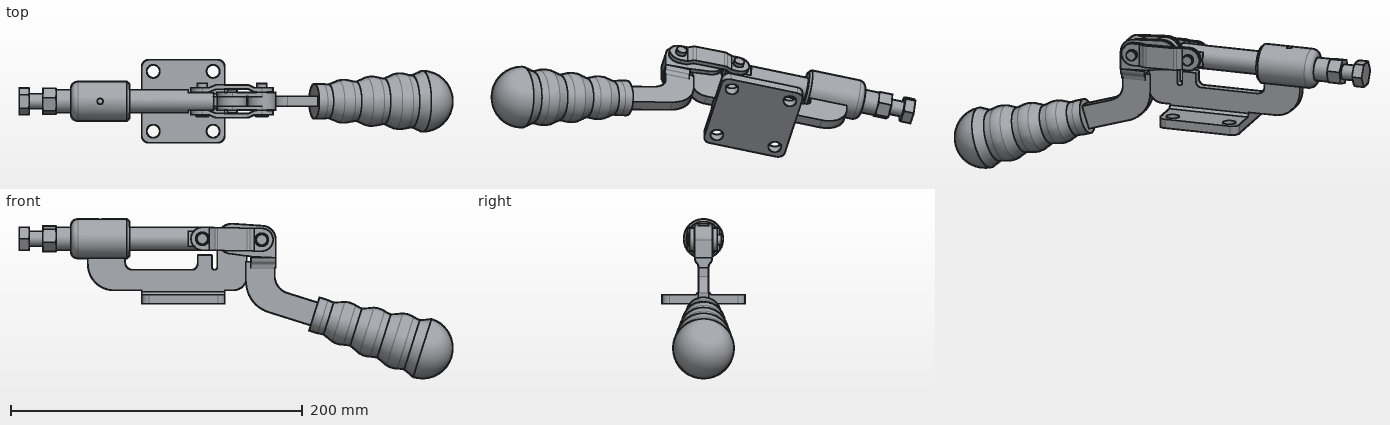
import cadquery as cq
import math


HEX_FLATS = 16.0
HEX_CORNER_RADIUS = HEX_FLATS / math.sqrt(3)
HEX_BEVEL = 0.9
BOLT_HEAD_LENGTH = 7.0
BOLT_DIAMETER = 10.5
NUT_START = 16.2
NUT_END = 25.4
NUT_TURN = 14.5

PLUNGER_DIAMETER = 16.0
PLUNGER_END = 133.2
PLUNGER_FLAT_START = 115.8
PLUNGER_FLAT_WIDTH = 12.0

BARREL_START = 35.3
BARREL_END = 75.7
BARREL_DIAMETER = 27.2
BARREL_FRONT_FILLET = 5.0
BARREL_REAR_CHAMFER = 1.8
OIL_HOLE_X = 55.5
OIL_HOLE_DIAMETER = 4.0

PLUNGER_PIN_X = 125.5
BODY_PIVOT_X = 145.9
HANDLE_PIN_X = 166.2
HANDLE_PIN_Z = -0.7
PIN_DIAMETER = 7.0
PIN_HEAD_DIAMETER = 9.0
PIN_HEAD_CHAMFER = 0.8
PIN_REAR_Y = 12.2
PIN_FRONT_Y = -10.7
RIVET_HALF_LENGTH = 8.0

BODY_THICKNESS = 6.5
BODY_LEFT = 47.0
BODY_BOTTOM = -35.4
BODY_FRONT_RADIUS = 18.0
BODY_REAR_RADIUS = 9.5
BODY_EYE_RADIUS = 10.2
RISER_RIGHT = 72.7
RISER_FILLET = 5.0
BEAM_TOP = -21.2
STOP_LEFT = 122.2
STOP_RIGHT = 132.2
STOP_TOP = -11.0
STOP_FILLET = 4.0
STOP_CORNER_RADIUS = 1.0

BASE_SIZE = 57.0
BASE_CENTER_X = 112.4
BASE_TOP = -38.2
BASE_THICKNESS = 6.4
BASE_CORNER_RADIUS = 5.0
BASE_HOLE_SPACING = 41.0
BASE_HOLE_DIAMETER = 8.8
WELD_LEG = 2.0

LINK_THICKNESS = 3.0
LINK_END_INNER_Y = 6.3
LINK_JOGGLE = 2.0
LINK_FRONT_BEND = (130.1, 134.8)
LINK_BEND_RADIUS = 5.0
LINK_REAR_BEND = (157.1, 161.2)
LINK_END_RADIUS = 7.8

HANDLE_THICKNESS = 7.0
HANDLE_EYE_RADIUS = 9.7
CHEEK_RADIUS = 10.4
HANDLE_ANGLE = 17.5
ARM_OUTER_Y = 6.1
ARM_BOTTOM_LEFT = (158.6, -12.2)
ARM_BOTTOM_Z = -13.0
NECK_LEFT = 155.4
NECK_RIGHT = 175.2
NECK_TAPER_END = -20.0
NECK_BEND_RADIUS = 5.5
NOTCH_RIGHT = 158.8
NOTCH_BOTTOM = -15.6
BAR_WIDTH = 16.5
BAR_EMBED = 10.0
NECK_INNER_RADIUS = 12.0
NECK_OUTER_RADIUS = 22.0

GRIP_START = (202.15, -51.55)
GRIP_COLLAR_LENGTH = 5.9
GRIP_COLLAR_RADIUS = 12.0
GRIP_FIRST_VALLEY = (10.3, 11.6)
RIB_COUNT = 3
RIB_PITCH = 20.1
RIB_START = 17.3
RIB_LENGTH = 7.8
RIB_FALL = 4.9
RIB_RADIUS = 14.3
RIB_BULGE = 0.6
RIB_GROWTH = 2.2
RIB_VALLEY_DROP = 0.9
GRIP_BALL_CENTER = 77.6
GRIP_BALL_RADIUS = 21.0


def x_cylinder(diameter, start, end):
    """Cylinder along the plunger axis between two X stations."""
    return cq.Workplane("YZ", origin=(start, 0, 0)).circle(diameter / 2).extrude(end - start)


def y_cylinder(x, z, diameter, y_start, y_end):
    """Cylinder along Y through (x, z)."""
    base = cq.Workplane("XZ", origin=(x, y_start, z)).circle(diameter / 2)
    return base.extrude(y_start - y_end)


def slab(profile, y_low, y_high):
    """Extrude an XZ wire, drawn at Y = 0, so that it fills y_low to y_high."""
    return profile.extrude(y_low - y_high).translate((0, y_low, 0))


def hexagon(start, end, turn):
    """Hexagon prism along X, with its rear corners bevelled."""
    length = end - start
    prism = (
        cq.Workplane("YZ", origin=(start, 0, 0))
        .polygon(6, 2 * HEX_CORNER_RADIUS)
        .extrude(length)
        .rotate((0, 0, 0), (1, 0, 0), turn)
    )
    envelope = x_cylinder(2 * HEX_CORNER_RADIUS, start, end).faces(">X").chamfer(HEX_BEVEL / 2, HEX_BEVEL)
    return prism.intersect(envelope)


def make_spindle():
    head = hexagon(0, BOLT_HEAD_LENGTH, 0)
    shank = x_cylinder(BOLT_DIAMETER, 0, NUT_END)
    nut = hexagon(NUT_START, NUT_END, NUT_TURN)
    return head.union(shank).union(nut)


def make_plunger():
    rod = x_cylinder(PLUNGER_DIAMETER, NUT_END, PLUNGER_FLAT_START)
    tongue = x_cylinder(PLUNGER_DIAMETER, PLUNGER_FLAT_START, PLUNGER_END)
    flats = cq.Workplane("XY").box(2 * PLUNGER_END, PLUNGER_FLAT_WIDTH, PLUNGER_DIAMETER)
    return rod.union(tongue.intersect(flats))


def make_barrel():
    barrel = x_cylinder(BARREL_DIAMETER, BARREL_START, BARREL_END)
    barrel = barrel.faces("<X").edges().fillet(BARREL_FRONT_FILLET)
    barrel = barrel.faces(">X").edges().chamfer(BARREL_REAR_CHAMFER)
    hole_bottom = PLUNGER_DIAMETER / 2 - OIL_HOLE_DIAMETER / 2
    oil_hole = (
        cq.Workplane("XY", origin=(OIL_HOLE_X, 0, hole_bottom))
        .circle(OIL_HOLE_DIAMETER / 2)
        .extrude(BARREL_DIAMETER / 2)
    )
    return barrel.cut(oil_hole)


def make_body():
    eye_left = BODY_PIVOT_X - BODY_EYE_RADIUS
    eye_right = BODY_PIVOT_X + BODY_EYE_RADIUS
    slot_radius = (eye_left - STOP_RIGHT) / 2
    barrel_overlap_z = -PLUNGER_DIAMETER / 2
    profile = (
        cq.Workplane("XZ")
        .moveTo(BODY_LEFT, barrel_overlap_z)
        .lineTo(BODY_LEFT, BODY_BOTTOM + BODY_FRONT_RADIUS)
        .radiusArc((BODY_LEFT + BODY_FRONT_RADIUS, BODY_BOTTOM), -BODY_FRONT_RADIUS)
        .lineTo(eye_right - BODY_REAR_RADIUS, BODY_BOTTOM)
        .radiusArc((eye_right, BODY_BOTTOM + BODY_REAR_RADIUS), -BODY_REAR_RADIUS)
        .lineTo(eye_right, 0)
        .threePointArc((BODY_PIVOT_X, BODY_EYE_RADIUS), (eye_left, 0))
        .lineTo(eye_left, BEAM_TOP + slot_radius)
        .threePointArc((eye_left - slot_radius, BEAM_TOP), (STOP_RIGHT, BEAM_TOP + slot_radius))
        .lineTo(STOP_RIGHT, STOP_TOP - STOP_CORNER_RADIUS)
        .radiusArc((STOP_RIGHT - STOP_CORNER_RADIUS, STOP_TOP), -STOP_CORNER_RADIUS)
        .lineTo(STOP_LEFT + STOP_CORNER_RADIUS, STOP_TOP)
        .radiusArc((STOP_LEFT, STOP_TOP - STOP_CORNER_RADIUS), -STOP_CORNER_RADIUS)
        .lineTo(STOP_LEFT, BEAM_TOP + STOP_FILLET)
        .radiusArc((STOP_LEFT - STOP_FILLET, BEAM_TOP), STOP_FILLET)
        .lineTo(RISER_RIGHT + RISER_FILLET, BEAM_TOP)
        .radiusArc((RISER_RIGHT, BEAM_TOP + RISER_FILLET), RISER_FILLET)
        .lineTo(RISER_RIGHT, barrel_overlap_z)
        .close()
    )
    return slab(profile, -BODY_THICKNESS / 2, BODY_THICKNESS / 2)


def make_base():
    plate = (
        cq.Workplane("XY", origin=(BASE_CENTER_X, 0, BASE_TOP - BASE_THICKNESS))
        .rect(BASE_SIZE, BASE_SIZE)
        .extrude(BASE_THICKNESS)
        .edges("|Z")
        .fillet(BASE_CORNER_RADIUS)
        .faces(">Z")
        .workplane(origin=(BASE_CENTER_X, 0, 0))
        .rect(BASE_HOLE_SPACING, BASE_HOLE_SPACING, forConstruction=True)
        .vertices()
        .hole(BASE_HOLE_DIAMETER)
    )
    half_thickness = BODY_THICKNESS / 2
    foot = (
        cq.Workplane("YZ", origin=(BASE_CENTER_X - BASE_SIZE / 2, 0, 0))
        .moveTo(-half_thickness - WELD_LEG, BASE_TOP)
        .lineTo(half_thickness + WELD_LEG, BASE_TOP)
        .lineTo(half_thickness, BASE_TOP + WELD_LEG)
        .lineTo(half_thickness, BODY_BOTTOM)
        .lineTo(-half_thickness, BODY_BOTTOM)
        .lineTo(-half_thickness, BASE_TOP + WELD_LEG)
        .close()
        .extrude(BASE_SIZE)
    )
    return plate.union(foot)


def make_link():
    """Link on the +Y side: a strip joggled outwards between its two round ends."""
    front_x = PLUNGER_PIN_X - LINK_END_RADIUS
    rear_x = HANDLE_PIN_X + LINK_END_RADIUS
    inner_edge = [
        (front_x, LINK_END_INNER_Y),
        (LINK_FRONT_BEND[0], LINK_END_INNER_Y),
        (LINK_FRONT_BEND[1], LINK_END_INNER_Y + LINK_JOGGLE),
        (LINK_REAR_BEND[0], LINK_END_INNER_Y + LINK_JOGGLE),
        (LINK_REAR_BEND[1], LINK_END_INNER_Y),
        (rear_x, LINK_END_INNER_Y),
    ]
    outer_edge = [(x, y + LINK_THICKNESS) for x, y in reversed(inner_edge)]
    strip = (
        cq.Workplane("XY", origin=(0, 0, -2 * LINK_END_RADIUS))
        .polyline(inner_edge + outer_edge)
        .close()
        .extrude(4 * LINK_END_RADIUS)
    )
    outer_y = LINK_END_INNER_Y + LINK_JOGGLE + LINK_THICKNESS
    for bend_x in (LINK_FRONT_BEND[1], LINK_REAR_BEND[0]):
        bend_edge = cq.selectors.NearestToPointSelector((bend_x, outer_y, 0))
        strip = strip.edges(bend_edge).fillet(LINK_BEND_RADIUS)
    outline = (
        cq.Workplane("XZ")
        .moveTo(PLUNGER_PIN_X, LINK_END_RADIUS)
        .lineTo(HANDLE_PIN_X, HANDLE_PIN_Z + LINK_END_RADIUS)
        .threePointArc((rear_x, HANDLE_PIN_Z), (HANDLE_PIN_X, HANDLE_PIN_Z - LINK_END_RADIUS))
        .lineTo(PLUNGER_PIN_X, -LINK_END_RADIUS)
        .threePointArc((front_x, 0), (PLUNGER_PIN_X, LINK_END_RADIUS))
        .close()
    )
    return strip.intersect(slab(outline, 0, PIN_REAR_Y))


def make_pin(x, z):
    head_y = -LINK_END_INNER_Y - LINK_THICKNESS
    shank = y_cylinder(x, z, PIN_DIAMETER, PIN_FRONT_Y, PIN_REAR_Y)
    head = y_cylinder(x, z, PIN_HEAD_DIAMETER, PIN_FRONT_Y, head_y)
    return shank.union(head.faces("<Y").edges().chamfer(PIN_HEAD_CHAMFER))


def make_clevis():
    """Pair of cheeks reaching from the handle pin forward around the body eye."""
    eye_top = HANDLE_PIN_Z + HANDLE_EYE_RADIUS
    cheek_right = HANDLE_PIN_X + HANDLE_EYE_RADIUS
    cheek = (
        cq.Workplane("XZ")
        .moveTo(BODY_PIVOT_X, CHEEK_RADIUS)
        .lineTo(HANDLE_PIN_X, eye_top)
        .radiusArc((cheek_right, HANDLE_PIN_Z), HANDLE_EYE_RADIUS)
        .lineTo(cheek_right, ARM_BOTTOM_Z)
        .lineTo(*ARM_BOTTOM_LEFT)
        .lineTo(BODY_PIVOT_X, -CHEEK_RADIUS)
        .threePointArc((BODY_PIVOT_X - CHEEK_RADIUS, 0), (BODY_PIVOT_X, CHEEK_RADIUS))
        .close()
    )
    cheeks = slab(cheek, -ARM_OUTER_Y, ARM_OUTER_Y)
    gap = cq.Workplane("XY").box(HANDLE_PIN_X, BODY_THICKNESS, 3 * CHEEK_RADIUS, centered=(False, True, True))
    return cheeks.cut(gap)


def make_handle_neck():
    """S-shaped narrowing from the width of the clevis down to the handle plate."""
    right = HANDLE_PIN_X + HANDLE_EYE_RADIUS
    half_plate = HANDLE_THICKNESS / 2
    middle_y = (ARM_OUTER_Y + half_plate) / 2
    middle_z = (ARM_BOTTOM_Z + NECK_TAPER_END) / 2
    return (
        cq.Workplane("YZ", origin=(NOTCH_RIGHT, 0, 0))
        .moveTo(-ARM_OUTER_Y, ARM_BOTTOM_Z)
        .lineTo(ARM_OUTER_Y, ARM_BOTTOM_Z)
        .radiusArc((middle_y, middle_z), NECK_BEND_RADIUS)
        .radiusArc((half_plate, NECK_TAPER_END), -NECK_BEND_RADIUS)
        .lineTo(-half_plate, NECK_TAPER_END)
        .radiusArc((-middle_y, middle_z), -NECK_BEND_RADIUS)
        .radiusArc((-ARM_OUTER_Y, ARM_BOTTOM_Z), NECK_BEND_RADIUS)
        .close()
        .extrude(right - NOTCH_RIGHT)
    )


def bar_edge_z(x, side):
    """Height at x of the upper (side = 1) or lower (side = -1) edge of the handle bar."""
    angle = math.radians(HANDLE_ANGLE)
    axis_z = GRIP_START[1] - (x - GRIP_START[0]) * math.tan(angle)
    return axis_z + side * BAR_WIDTH / 2 / math.cos(angle)


def bend_points(neck_x, side, radius):
    """Tangent points of the arc joining a vertical neck edge to a bar edge."""
    angle = math.radians(HANDLE_ANGLE)
    setback = radius * math.tan((math.pi / 2 - angle) / 2)
    corner_z = bar_edge_z(neck_x, side)
    on_neck = (neck_x, corner_z + setback)
    on_bar = (neck_x + setback * math.cos(angle), corner_z - setback * math.sin(angle))
    return on_neck, on_bar


def make_handle_bar():
    inner_neck, inner_bar = bend_points(NECK_RIGHT, 1, NECK_INNER_RADIUS)
    outer_neck, outer_bar = bend_points(NECK_LEFT, -1, NECK_OUTER_RADIUS)
    bar_end = GRIP_START[0] + BAR_EMBED
    profile = (
        cq.Workplane("XZ")
        .moveTo(NOTCH_RIGHT, HANDLE_PIN_Z)
        .lineTo(NOTCH_RIGHT, NOTCH_BOTTOM)
        .lineTo(NECK_LEFT, NOTCH_BOTTOM)
        .lineTo(*outer_neck)
        .radiusArc(outer_bar, -NECK_OUTER_RADIUS)
        .lineTo(bar_end, bar_edge_z(bar_end, -1))
        .lineTo(bar_end, bar_edge_z(bar_end, 1))
        .lineTo(*inner_bar)
        .radiusArc(inner_neck, NECK_INNER_RADIUS)
        .lineTo(NECK_RIGHT, HANDLE_PIN_Z)
        .close()
    )
    half = HANDLE_THICKNESS / 2
    eye = y_cylinder(HANDLE_PIN_X, HANDLE_PIN_Z, 2 * HANDLE_EYE_RADIUS, -half, half)
    return slab(profile, -half, half).union(eye)


def make_grip():
    """Ribbed grip, revolved about X and then tilted onto the handle bar."""
    profile = (
        cq.Workplane("XY")
        .moveTo(0, 0)
        .lineTo(0, GRIP_COLLAR_RADIUS)
        .lineTo(GRIP_COLLAR_LENGTH, GRIP_COLLAR_RADIUS)
        .lineTo(*GRIP_FIRST_VALLEY)
    )
    for rib in range(RIB_COUNT):
        start = RIB_START + rib * RIB_PITCH
        end = start + RIB_LENGTH
        radius = RIB_RADIUS + rib * RIB_GROWTH
        crest = ((start + end) / 2, radius + RIB_BULGE)
        profile = (
            profile.lineTo(start, radius)
            .threePointArc(crest, (end, radius))
            .lineTo(end + RIB_FALL, radius - RIB_VALLEY_DROP)
        )
    profile = (
        profile.lineTo(GRIP_BALL_CENTER, GRIP_BALL_RADIUS)
        .radiusArc((GRIP_BALL_CENTER + GRIP_BALL_RADIUS, 0), GRIP_BALL_RADIUS)
        .close()
    )
    grip = profile.revolve(360, (0, 0, 0), (1, 0, 0))
    grip = grip.rotate((0, 0, 0), (0, 1, 0), HANDLE_ANGLE)
    return grip.translate((GRIP_START[0], 0, GRIP_START[1]))


link = make_link()
features = [
    make_plunger(),
    make_barrel(),
    make_body(),
    make_base(),
    link,
    link.mirror("XZ"),
    make_pin(PLUNGER_PIN_X, 0),
    make_pin(HANDLE_PIN_X, HANDLE_PIN_Z),
    y_cylinder(BODY_PIVOT_X, 0, PIN_DIAMETER, -RIVET_HALF_LENGTH, RIVET_HALF_LENGTH),
    make_clevis(),
    make_handle_neck(),
    make_handle_bar(),
    make_grip(),
]

result = make_spindle()
for feature in features:
    result = result.union(feature)